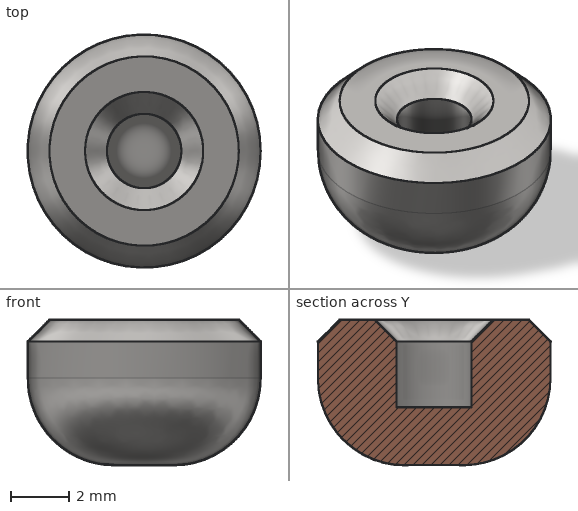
import cadquery as cq

diameter = 8.0
height = 5.0
top_chamfer = 0.75
bottom_radius = 3.0

hole_diameter = 2.55
hole_depth = 3.0
mouth_chamfer = 0.75


def make_body():
    """Cylinder with a chamfered top edge and a large round at the bottom edge."""
    body = cq.Workplane("XY").circle(diameter / 2).extrude(height)
    body = body.faces(">Z").edges().chamfer(top_chamfer)
    return body.faces("<Z").edges().fillet(bottom_radius)


def cut_hole(body):
    """Blind central hole with a 45 degree countersink at its mouth."""
    drilled = body.faces(">Z").workplane().hole(hole_diameter, hole_depth)
    mouth_edge = drilled.faces(">Z").edges(cq.selectors.RadiusNthSelector(0))
    return mouth_edge.chamfer(mouth_chamfer)


result = cut_hole(make_body())